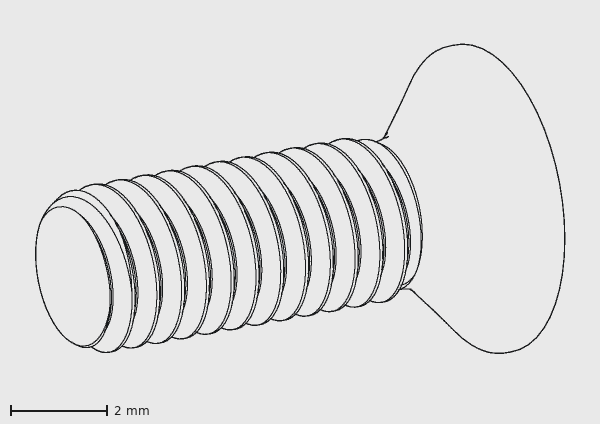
import cadquery as cq
import math


screw_length = 10.0
head_radius = 6.5 / 2

rim_height = 0.235
face_edge_radius = 0.06
cone_edge_radius = 0.1
cone_angle = 45.0
neck_radius = 1.555
neck_end = 2.47
neck_fillet = 0.94

pitch = 0.6
crest_radius = 3.5 / 2
flank_angle = math.radians(30.0)
sharp_height = pitch / 2 / math.tan(flank_angle)
thread_depth = 17 / 24 * sharp_height
root_radius = crest_radius - thread_depth
crest_width = pitch / 8
root_rounding = sharp_height / 6
root_land = 0.04
core_radius = root_radius + root_rounding - math.sqrt(root_rounding**2 - (root_land / 2) ** 2)
crest_to_tip = 0.27
ridge_sink = 0.06

chamfer_slope = math.tan(math.radians(30.0))
thread_tip_radius = crest_radius - 0.22
dish_radius = 1.44
dish_depth = 0.08


def revolve_about_z(profile):
    """Turn a closed XZ profile fully around the Z axis."""
    return profile.revolve(360, (0, 0, 0), (0, 1, 0))


def round_edge_near(body, height, radius):
    """Round the circular edge that lies at the given height."""
    tolerance = 0.01
    low_corner = (-screw_length, -screw_length, height - tolerance)
    high_corner = (screw_length, screw_length, height + tolerance)
    level = cq.selectors.BoxSelector(low_corner, high_corner, boundingbox=True)
    return body.edges(level).fillet(radius)


def make_head():
    """Rim, countersink cone and neck in one turned piece with its edges rounded."""
    cone_end = -rim_height - (head_radius - neck_radius) / math.tan(math.radians(cone_angle))
    profile = (
        cq.Workplane("XZ")
        .lineTo(head_radius, 0)
        .lineTo(head_radius, -rim_height)
        .lineTo(neck_radius, cone_end)
        .lineTo(neck_radius, -neck_end)
        .lineTo(0, -neck_end)
        .close()
    )
    head = revolve_about_z(profile)
    head = round_edge_near(head, cone_end, neck_fillet)
    head = round_edge_near(head, -rim_height, cone_edge_radius)
    return round_edge_near(head, 0, face_edge_radius)


def make_ridge():
    """Helical thread ridge with concave root roundings, running on past the neck and the tip."""
    length = pitch * (math.ceil((screw_length - neck_end) / pitch) + 2)
    crest_half = crest_width / 2
    rounding_center = root_radius + root_rounding
    flank_foot_radius = rounding_center - root_rounding * math.sin(flank_angle)
    flank_foot_half = pitch / 2 - root_rounding * math.cos(flank_angle)
    side_half = pitch / 2 - root_land / 4
    side_radius = rounding_center - math.sqrt(root_rounding**2 - (root_land / 4) ** 2)
    middle_angle = (flank_angle + math.acos(root_land / 4 / root_rounding)) / 2
    middle_radius = rounding_center - root_rounding * math.sin(middle_angle)
    middle_half = pitch / 2 - root_rounding * math.cos(middle_angle)
    inner_radius = root_radius - ridge_sink
    section = (
        cq.Workplane("XZ")
        .moveTo(inner_radius, -side_half)
        .lineTo(side_radius, -side_half)
        .threePointArc((middle_radius, -middle_half), (flank_foot_radius, -flank_foot_half))
        .lineTo(crest_radius, -crest_half)
        .lineTo(crest_radius, crest_half)
        .lineTo(flank_foot_radius, flank_foot_half)
        .threePointArc((middle_radius, middle_half), (side_radius, side_half))
        .lineTo(inner_radius, side_half)
        .close()
    )
    helix = cq.Wire.makeHelix(pitch, length, crest_radius)
    start = -screw_length + crest_to_tip + pitch / 4 - 2 * pitch
    return section.sweep(cq.Workplane(obj=helix), isFrenet=True).translate((0, 0, start))


def make_thread_envelope():
    """Turned body that trims the ridge to the shank length and cones off both of its ends."""
    outer_radius = crest_radius + thread_depth / 2
    neck_cone_length = (outer_radius - neck_radius) / chamfer_slope
    tip_cone_length = (outer_radius - thread_tip_radius) / chamfer_slope
    profile = (
        cq.Workplane("XZ")
        .moveTo(0, -neck_end)
        .lineTo(neck_radius, -neck_end)
        .lineTo(outer_radius, -neck_end - neck_cone_length)
        .lineTo(outer_radius, -screw_length + tip_cone_length)
        .lineTo(thread_tip_radius, -screw_length)
        .lineTo(0, -screw_length)
        .close()
    )
    return revolve_about_z(profile)


def make_tip_dish():
    """Shallow spherical cap that hollows the tip face."""
    sphere_radius = (dish_radius**2 + dish_depth**2) / (2 * dish_depth)
    center = -screw_length + dish_depth - sphere_radius
    return cq.Workplane("XY").sphere(sphere_radius).translate((0, 0, center))


def make_shank():
    """Threaded shank from the neck to the dished tip."""
    core = cq.Workplane("XY").circle(core_radius).extrude(screw_length - neck_end)
    core = core.translate((0, 0, -screw_length))
    thread = make_thread_envelope().intersect(make_ridge())
    return core.union(thread).cut(make_tip_dish())


upright_screw = make_head().union(make_shank())
result = upright_screw.rotate((0, 0, 0), (1, 0, 0), -90)